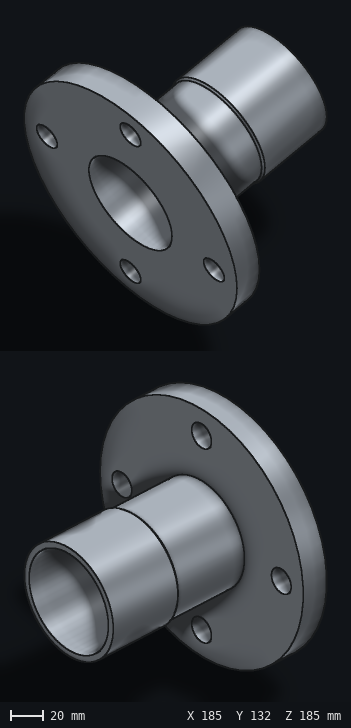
import cadquery as cq

flange_diameter = 185.0
flange_thickness = 20.0
overall_length = 132.0

bore_diameter = 72.2
neck_diameter = 78.0
collar_diameter = 81.0
collar_length = 56.0
collar_chamfer = (collar_diameter - neck_diameter) / 2

bolt_hole_diameter = 18.0
bolt_circle_diameter = 145.0
bolt_hole_count = 4


def cylinder(diameter, start, length):
    """Solid cylinder on the Y axis, from start towards +Y."""
    plane = cq.Workplane("XZ", origin=(0, start, 0))
    return plane.circle(diameter / 2).extrude(-length)


def bolt_holes():
    """Cutters for the evenly spaced holes through the flange."""
    centres = cq.Workplane("XZ").polarArray(bolt_circle_diameter / 2, 0, 360, bolt_hole_count)
    return centres.circle(bolt_hole_diameter / 2).extrude(-flange_thickness)


flange = cylinder(flange_diameter, 0, flange_thickness)
neck = cylinder(neck_diameter, 0, overall_length)
collar = cylinder(collar_diameter, overall_length - collar_length, collar_length)
collar = collar.faces("<Y").chamfer(collar_chamfer)
bore = cylinder(bore_diameter, 0, overall_length)

result = flange.union(neck).union(collar).cut(bore).cut(bolt_holes())